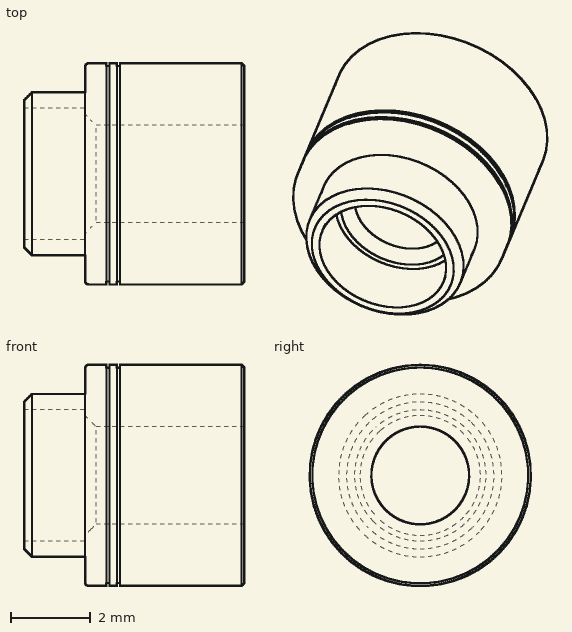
import cadquery as cq

neck_length = 1.53
body_length = 4.0
total_length = neck_length + body_length

body_radius = 2.78
neck_radius = 2.05
neck_chamfer = 0.2
body_front_fillet = 0.09
body_rear_chamfer = 0.07

groove_depth = 0.07
groove_width = 0.075
groove_offsets = [0.535, 0.8]

counterbore_radius = 1.65
counterbore_depth = 1.52
funnel_mouth_radius = 1.51
through_radius = 1.225
funnel_length = funnel_mouth_radius - through_radius


def revolve_profile(points):
    """Solid of revolution about the X axis from (x, radius) points."""
    start_x = points[0][0]
    end_x = points[-1][0]
    outline = [(start_x, 0)] + points + [(end_x, 0)]
    return cq.Workplane("XZ").polyline(outline).close().revolve(360, (0, 0, 0), (1, 0, 0))


def make_neck():
    """Neck with a chamfered tip, reaching back to the shoulder."""
    return revolve_profile([
        (0, neck_radius - neck_chamfer),
        (neck_chamfer, neck_radius),
        (neck_length, neck_radius),
    ])


def make_body():
    """Main barrel with a rounded front rim and a chamfered rear rim."""
    body = revolve_profile([(neck_length, body_radius), (total_length, body_radius)])
    body = body.faces("<X").edges().fillet(body_front_fillet)
    return body.faces(">X").edges().chamfer(body_rear_chamfer)


def make_groove(offset):
    """Ring of material to remove for one groove."""
    start = neck_length + offset
    end = start + groove_width
    outer_radius = body_radius + groove_depth
    floor_radius = body_radius - groove_depth
    disc = revolve_profile([(start, outer_radius), (end, outer_radius)])
    return disc.cut(revolve_profile([(start, floor_radius), (end, floor_radius)]))


def make_bore():
    """Stepped through bore with a funnel below the counterbore."""
    return revolve_profile([
        (0, counterbore_radius),
        (counterbore_depth, counterbore_radius),
        (counterbore_depth, funnel_mouth_radius),
        (counterbore_depth + funnel_length, through_radius),
        (total_length, through_radius),
    ])


result = make_neck().union(make_body())
for groove_offset in groove_offsets:
    result = result.cut(make_groove(groove_offset))
result = result.cut(make_bore())